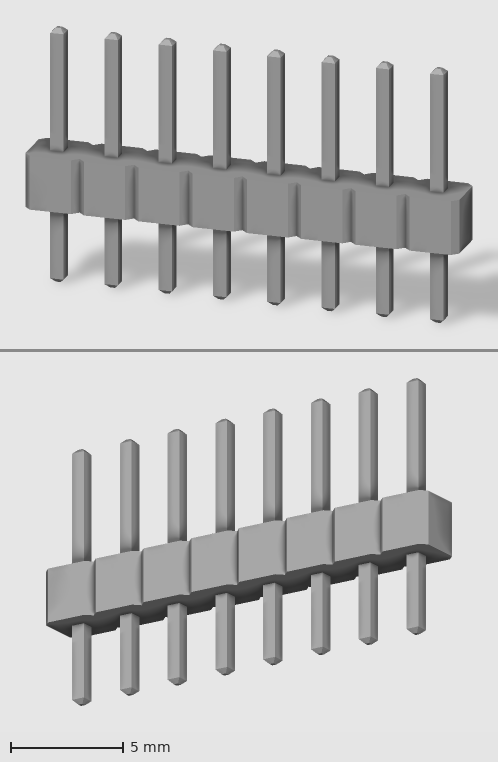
import cadquery as cq

cell_count = 8
row_length = 20.32
block_height = 2.55
block_corner_chamfer = 0.3
pin_width = 0.63
pin_length = 12.0
pin_below_block = 3.7
pin_end_chamfer = 0.2

pitch = row_length / cell_count


def make_block():
    """Square insulator block standing on Z = 0, with chamfered vertical edges."""
    return (
        cq.Workplane("XY")
        .rect(pitch, pitch)
        .extrude(block_height)
        .edges("|Z")
        .chamfer(block_corner_chamfer)
    )


def make_pin():
    """Square pin through the block, chamfered to a blunt pyramid at both ends."""
    return (
        cq.Workplane("XY", origin=(0, 0, -pin_below_block))
        .rect(pin_width, pin_width)
        .extrude(pin_length)
        .faces("<Z or >Z")
        .edges()
        .chamfer(pin_end_chamfer)
    )


def make_cell(index):
    """One header cell: block and pin as a single solid, placed in the row."""
    center_x = (index - (cell_count - 1) / 2) * pitch
    return make_block().union(make_pin()).translate((center_x, 0, 0))


header_cells = [make_cell(index) for index in range(cell_count)]

result = cq.Compound.makeCompound([cell.solids().val() for cell in header_cells])